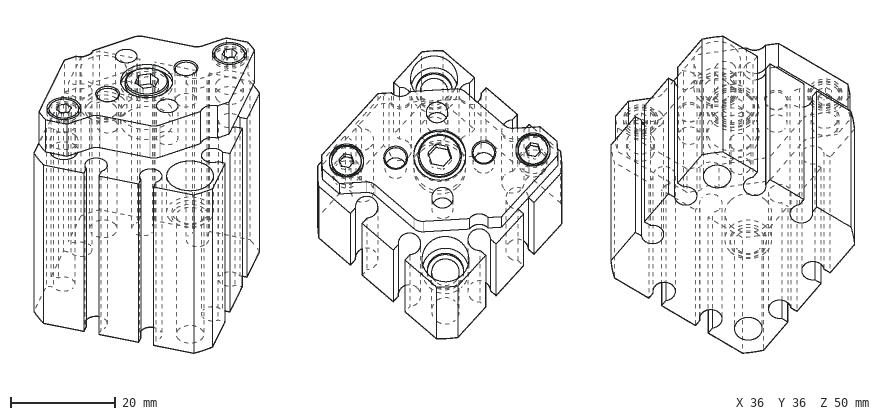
import cadquery as cq
import math

housing_side = 36.0
housing_height = 39.5
housing_corner_radius = 23.5

slot_offset = 5.5
slot_mouth_width = 3.0
slot_bore_diameter = 4.3
slot_bore_depth = 3.0
slot_bore_center = housing_side / 2 - slot_bore_depth

corner_offset = 12.7
rod_corners = [(corner_offset, corner_offset), (-corner_offset, -corner_offset)]
mounting_corners = [(-corner_offset, corner_offset), (corner_offset, -corner_offset)]

mounting_diameter = 5.3
mounting_step_diameter = 7.0
mounting_step_depth = 10.0
mounting_head_diameter = 9.0
mounting_head_depth = 9.0

rod_gap = 2.5
piston_rod_diameter = 10.0
guide_rod_diameter = 5.4
plate_thickness = 8.0
plate_bottom = housing_height + rod_gap
plate_top = plate_bottom + plate_thickness

plate_half_side = 17.0
plate_waist = 12.66
plate_corner_radius = 22.7
ear_diagonal = 6.3
waist_diagonal = 18.3
ear_fillet = 2.3
waist_fillet = 2.5
slot_clearance_radius = 2.4

screw_seat_depth = 1.0
hex_sides = 6
center_seat_diameter = 10.0
center_head_diameter = 8.3
center_head_chamfer = 0.25
center_hex_flats = 4.0
center_hex_depth = 2.5
corner_seat_diameter = 6.6
corner_head_diameter = 5.7
corner_hex_flats = 2.5
corner_hex_depth = 2.0
tool_hole_offset = 6.0
tool_hole_diameter = 4.1
tool_hole_chamfer = 0.25


def cylinder(diameter, bottom, height, points):
    return cq.Workplane("XY", origin=(0, 0, bottom)).pushPoints(points).circle(diameter / 2).extrude(height)


def sensor_slot(side, offset):
    """One keyhole slot along the full height, on the +X face before turning by `side` quarter turns."""
    mouth = (
        cq.Workplane("XY")
        .center(slot_bore_center + slot_bore_depth / 2, offset)
        .rect(slot_bore_depth, slot_mouth_width)
        .extrude(housing_height)
    )
    bore = cylinder(slot_bore_diameter, 0, housing_height, [(slot_bore_center, offset)])
    return mouth.union(bore).rotate((0, 0, 0), (0, 0, 1), 90 * side)


def make_housing():
    body = cq.Workplane("XY").rect(housing_side, housing_side).extrude(housing_height)
    body = body.intersect(cylinder(2 * housing_corner_radius, 0, housing_height, [(0, 0)]))
    for side in range(4):
        for offset in (-slot_offset, slot_offset):
            body = body.cut(sensor_slot(side, offset))
    holes = [
        (mounting_diameter, housing_height),
        (mounting_step_diameter, mounting_step_depth),
        (mounting_head_diameter, mounting_head_depth),
    ]
    for diameter, depth in holes:
        body = body.cut(cylinder(diameter, housing_height - depth, depth, mounting_corners))
    return body


def plate_blank():
    ear_corner = (plate_waist - ear_diagonal, plate_waist)
    waist_corner = (waist_diagonal - plate_waist, -plate_waist)
    half_outline = [
        ear_corner,
        (plate_half_side - ear_diagonal, plate_half_side),
        (plate_half_side, plate_half_side),
        (plate_half_side, plate_half_side - waist_diagonal),
        waist_corner,
    ]
    other_half = [(-x, -y) for x, y in half_outline]
    blank = (
        cq.Workplane("XY", origin=(0, 0, plate_bottom))
        .polyline(half_outline + other_half)
        .close()
        .extrude(plate_thickness)
    )
    middle = plate_bottom + plate_thickness / 2
    for (x, y), radius in ((ear_corner, ear_fillet), (waist_corner, waist_fillet)):
        for turn in (1, -1):
            corner_edge = cq.selectors.NearestToPointSelector((turn * x, turn * y, middle))
            blank = blank.edges(corner_edge).fillet(radius)
    blank = blank.intersect(
        cylinder(2 * plate_corner_radius, plate_bottom, plate_thickness, [(0, 0)])
    )
    reliefs = [(slot_bore_center, -slot_offset), (-slot_bore_center, slot_offset)]
    return blank.cut(cylinder(2 * slot_clearance_radius, plate_bottom, plate_thickness, reliefs))


def drill_tool_holes(plate):
    """Two plain and two chamfered holes on a square about the centre."""
    plain = [(-tool_hole_offset, tool_hole_offset), (tool_hole_offset, -tool_hole_offset)]
    chamfered = [(tool_hole_offset, tool_hole_offset), (-tool_hole_offset, -tool_hole_offset)]
    plate = plate.cut(cylinder(tool_hole_diameter, plate_bottom, plate_thickness, plain + chamfered))
    hole_radius = tool_hole_diameter / 2
    for x, y in chamfered:
        countersink = cq.Solid.makeCone(
            hole_radius,
            hole_radius + tool_hole_chamfer,
            tool_hole_chamfer,
            pnt=cq.Vector(x, y, plate_top - tool_hole_chamfer),
        )
        plate = plate.cut(cq.Workplane(countersink))
    return plate


def set_screws(plate, points, seat_diameter, head_diameter, head_chamfer, hex_flats, hex_depth):
    """Sink an annular seat and leave a flush hex-socket head standing in it."""
    seat_floor = plate_top - screw_seat_depth
    heads = cylinder(head_diameter, seat_floor, screw_seat_depth, points)
    if head_chamfer > 0:
        heads = heads.faces(">Z").edges().chamfer(head_chamfer)
    plate = plate.cut(cylinder(seat_diameter, seat_floor, screw_seat_depth, points)).union(heads)
    for x, y in points:
        socket = (
            cq.Workplane("XY", origin=(x, y, plate_top - hex_depth))
            .transformed(rotate=(0, 0, 180 / hex_sides))
            .polygon(hex_sides, hex_flats / math.cos(math.pi / hex_sides))
            .extrude(hex_depth)
        )
        plate = plate.cut(socket)
    return plate


def make_moving_unit():
    unit = drill_tool_holes(plate_blank())
    unit = unit.union(cylinder(piston_rod_diameter, housing_height, rod_gap, [(0, 0)]))
    unit = unit.union(cylinder(guide_rod_diameter, housing_height, rod_gap, rod_corners))
    unit = set_screws(
        unit,
        [(0, 0)],
        center_seat_diameter,
        center_head_diameter,
        center_head_chamfer,
        center_hex_flats,
        center_hex_depth,
    )
    return set_screws(
        unit,
        rod_corners,
        corner_seat_diameter,
        corner_head_diameter,
        0,
        corner_hex_flats,
        corner_hex_depth,
    )


housing = make_housing()
moving_unit = make_moving_unit()
result = cq.Compound.makeCompound([housing.val(), moving_unit.val()])